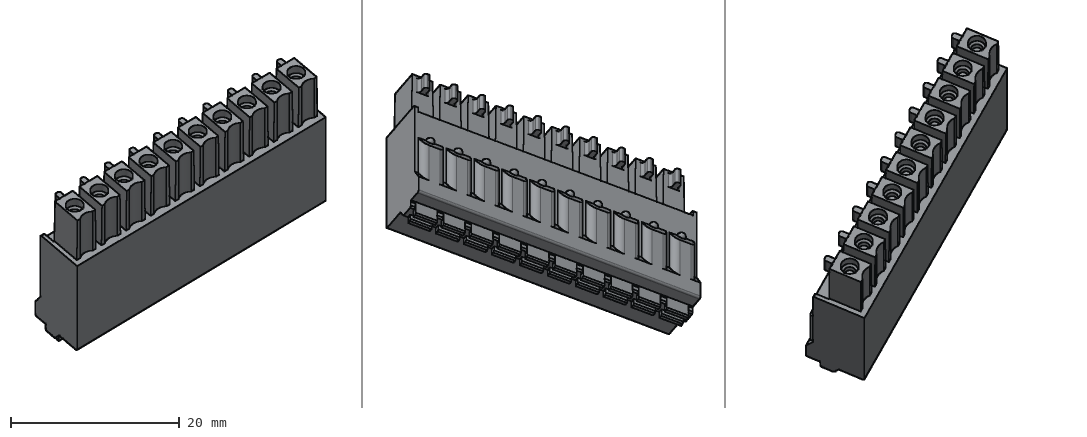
import cadquery as cq
import math

LENGTH = 38.5
DEPTH = 7.75
HEIGHT = 22.9

POLES = 10
PITCH = 3.8
POLE_YS = [(i - (POLES - 1) / 2) * PITCH for i in range(POLES)]

BODY_BOTTOM = 1.95
BODY_TOP = 16.3
FACE_X = 0.92
SKIRT_TOP = 4.3
SLOPE_RISE = 1.5
EDGE_RADIUS = 0.27

LEDGE_Z = 15.45
END_WALL = 0.5

TOWER_FRONT = 2.77
TOWER_BACK = 6.93
TOWER_BASE_WIDTH = 2.95
TOWER_TOP_WIDTH = 2.77
NOTCH_WIDTH = 1.92
NOTCH_DEPTH = 0.35

SOCKET_X = 4.77
SOCKET_RADIUS = 1.08
SOCKET_DEPTH = 1.2
CONE_DEPTH = 0.2
BORE_RADIUS = 0.75
BORE_END_RADIUS = 0.6
BORE_DEPTH = 0.58

KEY_FRONT = 1.5
KEY_BOTTOM = 20.32
KEY_TOP = 22.5
KEY_WIDTH = 0.77
KEY_NOSE_RADIUS = 0.3
KEY_FLARE_RADIUS = 0.4

RIDGE_WIDTH = 3.27
RIDGE_TOP = 11.35
RIDGE_RADIUS = 0.9
BEAD_RADIUS = 0.55

FOOT_FRONT = 1.8
FOOT_SETBACK = 0.08
FOOT_BACK = 3.6
FOOT_BOTTOM = 0.92
FOOT_COVE = 0.2
FOOT_BEVEL_X = 0.15
FOOT_BEVEL_Z = 0.27
FOOT_KNEE_X = 3.95
FOOT_KNEE_Z = 1.4
FOOT_BACK_TOP = 4.35
FIN_WIDTH = 2.95
PRONG_THICKNESS = 0.55
PRONG_BEVEL_X = 0.1
PRONG_BEVEL_Z = 0.27


def box(x0, x1, y_center, width, z0, z1):
    """Axis-aligned block given by its X range, Y centre and width, and Z range."""
    return cq.Workplane("XY").box(x1 - x0, width, z1 - z0, centered=(False, True, False)).translate(
        (x0, y_center, z0)
    )


def extrude_along_y(points, width, y_center=0.0):
    """Extrude an XZ outline symmetrically about y_center."""
    outline = cq.Workplane("XZ").polyline(points).close()
    return outline.extrude(width / 2, both=True).translate((0, y_center, 0))


def make_body():
    outline = [
        (0, BODY_BOTTOM),
        (DEPTH, BODY_BOTTOM),
        (DEPTH, BODY_TOP),
        (FACE_X, BODY_TOP),
        (FACE_X, SKIRT_TOP + SLOPE_RISE),
        (0, SKIRT_TOP),
    ]
    body = extrude_along_y(outline, LENGTH)
    body = body.faces("<Z").edges("|Y").fillet(EDGE_RADIUS)
    body = body.faces(">Z").edges("<X").fillet(EDGE_RADIUS)
    ledge = box(0, TOWER_FRONT, 0, LENGTH - 2 * END_WALL, LEDGE_Z, HEIGHT)
    return body.cut(ledge)


def make_foot():
    recessed_front = FOOT_FRONT + FOOT_SETBACK
    outline = [
        (FOOT_FRONT, BODY_BOTTOM),
        (recessed_front, BODY_BOTTOM - FOOT_COVE),
        (recessed_front, FOOT_BOTTOM + FOOT_BEVEL_Z),
        (recessed_front + FOOT_BEVEL_X, FOOT_BOTTOM),
        (FOOT_BACK, FOOT_BOTTOM),
        (FOOT_KNEE_X, FOOT_KNEE_Z),
        (FOOT_BACK_TOP, BODY_BOTTOM),
    ]
    return extrude_along_y(outline, LENGTH)


def make_prong(front, top, y):
    outline = [
        (front, top),
        (front, PRONG_BEVEL_Z),
        (front + PRONG_BEVEL_X, 0),
        (front + PRONG_THICKNESS, 0),
        (front + PRONG_THICKNESS, top),
    ]
    return extrude_along_y(outline, FIN_WIDTH, y)


def make_tower(y):
    half_base = TOWER_BASE_WIDTH / 2
    half_top = TOWER_TOP_WIDTH / 2
    tower = (
        cq.Workplane("YZ", origin=(TOWER_FRONT, y, 0))
        .polyline(
            [(-half_base, BODY_TOP), (half_base, BODY_TOP), (half_top, HEIGHT), (-half_top, HEIGHT)]
        )
        .close()
        .extrude(TOWER_BACK - TOWER_FRONT)
    )
    notch = (
        cq.Workplane("XY", origin=(TOWER_BACK, y, BODY_TOP))
        .moveTo(0, -NOTCH_WIDTH / 2)
        .threePointArc((-NOTCH_DEPTH, 0), (0, NOTCH_WIDTH / 2))
        .close()
        .extrude(HEIGHT - BODY_TOP)
    )
    return tower.cut(notch)


def make_socket(y):
    """Stepped round hole: straight mouth, conical shoulder, tapered bore."""
    shoulder_z = HEIGHT - SOCKET_DEPTH
    bore_z = shoulder_z - CONE_DEPTH
    floor_z = bore_z - BORE_DEPTH
    half_profile = [
        (0, HEIGHT),
        (SOCKET_RADIUS, HEIGHT),
        (SOCKET_RADIUS, shoulder_z),
        (BORE_RADIUS, bore_z),
        (BORE_END_RADIUS, floor_z),
        (0, floor_z),
    ]
    socket = cq.Workplane("XZ").polyline(half_profile).close().revolve(360, (0, 0), (0, 1))
    return socket.translate((SOCKET_X, y, 0))


def make_key(y):
    """Key with two rounded nose corners that flares into the tower through concave quarter circles."""
    half = KEY_WIDTH / 2
    flare_x = TOWER_FRONT - KEY_FLARE_RADIUS
    flare_half = half + KEY_FLARE_RADIUS
    flare_mid = KEY_FLARE_RADIUS * (1 - math.sqrt(0.5))
    stem = box(KEY_FRONT, TOWER_FRONT, y, KEY_WIDTH, KEY_BOTTOM, KEY_TOP)
    stem = stem.faces("<X").edges("|Z").fillet(KEY_NOSE_RADIUS)
    flare = (
        cq.Workplane("XY", origin=(0, y, KEY_BOTTOM))
        .moveTo(flare_x, -half)
        .threePointArc((TOWER_FRONT - flare_mid, -half - flare_mid), (TOWER_FRONT, -flare_half))
        .lineTo(TOWER_FRONT, flare_half)
        .threePointArc((TOWER_FRONT - flare_mid, half + flare_mid), (flare_x, half))
        .close()
        .extrude(KEY_TOP - KEY_BOTTOM)
    )
    return stem.union(flare)


def make_ridge(y):
    """Upright ridge with rounded front corners, its top sloping back to the housing face."""
    ridge = box(0, FACE_X, y, RIDGE_WIDTH, SKIRT_TOP - SLOPE_RISE, RIDGE_TOP)
    ridge = ridge.faces("<X").edges("|Z").fillet(RIDGE_RADIUS)
    slope = [(0, RIDGE_TOP), (FACE_X, RIDGE_TOP), (0, RIDGE_TOP - SLOPE_RISE)]
    return ridge.cut(extrude_along_y(slope, RIDGE_WIDTH, y))


def make_bead(x, y, z):
    return cq.Workplane("XY").sphere(BEAD_RADIUS).translate((x, y, z))


result = make_body().union(make_foot())
for pole_y in POLE_YS:
    result = (
        result.union(make_tower(pole_y))
        .union(make_key(pole_y))
        .union(make_ridge(pole_y))
        .union(make_bead(FACE_X, pole_y, RIDGE_TOP))
        .union(make_bead(TOWER_FRONT, pole_y, LEDGE_Z))
        .union(make_prong(FOOT_FRONT, BODY_BOTTOM, pole_y))
        .union(make_prong(FOOT_BACK - PRONG_THICKNESS, FOOT_BOTTOM, pole_y))
        .cut(make_socket(pole_y))
    )